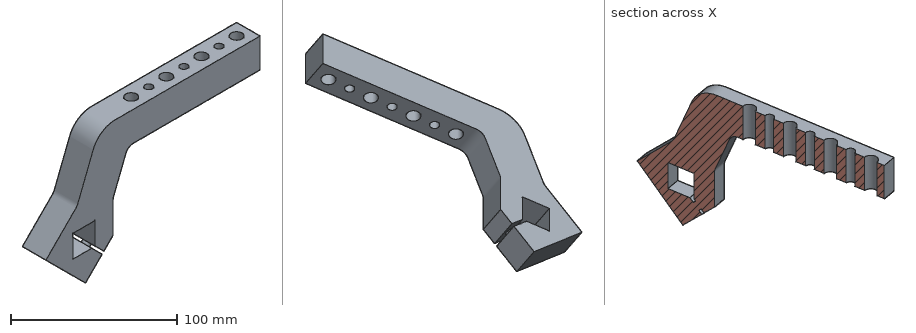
import cadquery as cq
import math

width = 20.0
length = 182.5
height = 107.5

arm_thickness = 25.0
neck_angle = math.radians(68.4)
neck_front_y = 45.3
outer_bend_radius = 20.0
inner_bend_radius = 6.8
neck_root_radius = 6.8

head_depth = 33.8
head_back_y = 57.3
head_back_top_z = -56.8
square_size = 19.0
square_back_y = 42.0
lower_jaw_thickness = 20.0
slit_width = 2.0
slit_length = 25.5

pin_diameter = 6.0
pin_inset = 6.0
pin_embedding = 1.8

large_hole_diameter = 9.0
small_hole_diameter = 6.0
hole_spacing = 15.0
hole_count = 7
rear_hole_inset = 10.0

diagonal = math.sqrt(0.5)
front_tip_z = head_depth - height
bottom_tip = (head_depth, -height)


def head_point(along_jaws, along_slit):
    """Point measured from the bottom tip, across the jaws and then along the slit."""
    y = bottom_tip[0] + (along_jaws - along_slit) * diagonal
    z = bottom_tip[1] + (along_jaws + along_slit) * diagonal
    return y, z


def neck_run(drop):
    """Y distance that the sloping neck covers over a given drop."""
    return drop / math.tan(neck_angle)


def side_prism(points):
    return cq.Workplane("YZ").polyline(points).close().extrude(width / 2, both=True)


def fillet_corner(body, corner, radius):
    y, z = corner
    reach = 0.2
    box = cq.selectors.BoxSelector(
        (-width, y - reach, z - reach), (width, y + reach, z + reach)
    )
    return body.edges(box).fillet(radius)


def make_body():
    inner_bend = (
        head_back_y + neck_run(-arm_thickness - head_back_top_z),
        -arm_thickness,
    )
    outer_bend = (neck_front_y, 0)
    root_y = (neck_front_y + neck_run(front_tip_z)) / (1 - neck_run(1))
    neck_root = (root_y, front_tip_z + root_y)
    head_back_bottom = (head_back_y, bottom_tip[1] + head_back_y - bottom_tip[0])
    body = side_prism([
        (length, 0),
        outer_bend,
        neck_root,
        (0, front_tip_z),
        bottom_tip,
        head_back_bottom,
        (head_back_y, head_back_top_z),
        inner_bend,
        (length, -arm_thickness),
    ])
    body = fillet_corner(body, outer_bend, outer_bend_radius)
    body = fillet_corner(body, inner_bend, inner_bend_radius)
    body = fillet_corner(body, (head_back_y, head_back_top_z), neck_root_radius)
    return fillet_corner(body, neck_root, neck_root_radius)


def make_clamp_opening():
    slit_far_side = lower_jaw_thickness + slit_width
    slit = side_prism([
        head_point(lower_jaw_thickness, 0),
        head_point(slit_far_side, 0),
        head_point(slit_far_side, slit_length),
        head_point(lower_jaw_thickness, slit_length),
    ])
    square_front_y = square_back_y - square_size
    square_bottom_z = (
        2 * slit_far_side * diagonal + bottom_tip[1] + bottom_tip[0] - square_back_y
    )
    square_top_z = square_bottom_z + square_size
    square = side_prism([
        (square_back_y, square_bottom_z),
        (square_back_y, square_top_z),
        (square_front_y, square_top_z),
        (square_front_y, square_bottom_z),
    ])
    return square.union(slit)


def make_pin():
    y, z = head_point(lower_jaw_thickness - pin_embedding, pin_inset)
    return cq.Workplane(cq.Solid.makeCylinder(
        pin_diameter / 2,
        slit_width + 2 * pin_embedding,
        cq.Vector(0, y, z),
        cq.Vector(0, 1, 1),
    ))


def drill_arm(body):
    for index in range(hole_count):
        diameter = large_hole_diameter if index % 2 == 0 else small_hole_diameter
        y = length - rear_hole_inset - index * hole_spacing
        hole = cq.Workplane("XY").center(0, y).circle(diameter / 2).extrude(-arm_thickness)
        body = body.cut(hole)
    return body


result = drill_arm(make_body()).cut(make_clamp_opening()).union(make_pin())